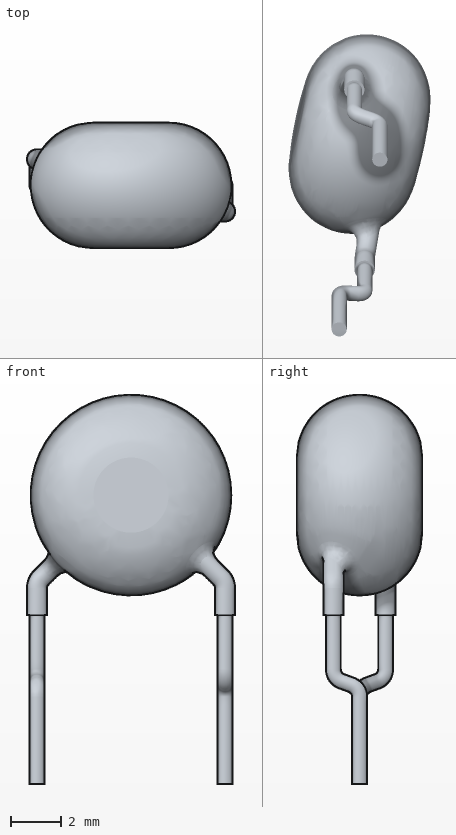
import cadquery as cq
import math

body_diameter = 8.0
body_thickness = 5.0
rim_radius = body_thickness / 2
face_radius = body_diameter / 2 - rim_radius
total_height = 15.5
body_center_z = total_height - body_diameter / 2

wire_diameter = 0.6
lead_spacing = 7.49
lead_offset_y = 1.04
tail_height = 3.49
crank_bend_radius = 0.5
crank_angle = math.radians(70)

sleeve_diameter = 0.8
sleeve_bottom_z = 6.73
sleeve_bend_z = 7.8
sleeve_bend_radius = 0.6
sleeve_angle = math.radians(45)
sleeve_reach = 2.48
root_fillet = 0.6


def arc_step(start, radius, start_angle, end_angle):
    """Middle and end points of a bend; angles are headings measured from vertical."""
    turn = 1 if end_angle > start_angle else -1

    def point_at(heading):
        across = turn * radius * (math.cos(start_angle) - math.cos(heading))
        up = turn * radius * (math.sin(heading) - math.sin(start_angle))
        return start[0] + across, start[1] + up

    return point_at((start_angle + end_angle) / 2), point_at(end_angle)


def straight_step(start, length, heading):
    """End point of a straight run along a heading measured from vertical."""
    return start[0] + length * math.sin(heading), start[1] + length * math.cos(heading)


def make_body():
    """Disc with a fully rounded rim and a flat circle on each face."""
    half = body_thickness / 2
    return (
        cq.Workplane("XY")
        .moveTo(0, -half)
        .lineTo(face_radius, -half)
        .threePointArc((body_diameter / 2, 0), (face_radius, half))
        .lineTo(0, half)
        .close()
        .revolve(360, (0, 0, 0), (0, 1, 0))
        .translate((0, 0, body_center_z))
    )


def make_wire():
    """Right lead: tail in the middle plane, crank toward -Y, then up into the sleeve."""
    bend_shift = crank_bend_radius * (1 - math.cos(crank_angle))
    slant_length = (lead_offset_y - 2 * bend_shift) / math.sin(crank_angle)
    tail_top = (0, tail_height)
    lower_middle, lower_end = arc_step(tail_top, crank_bend_radius, 0, crank_angle)
    slant_end = straight_step(lower_end, slant_length, crank_angle)
    upper_middle, upper_end = arc_step(slant_end, crank_bend_radius, crank_angle, 0)
    plane = cq.Plane(origin=(lead_spacing / 2, 0, 0), xDir=(0, -1, 0), normal=(-1, 0, 0))
    path = (
        cq.Workplane(plane)
        .moveTo(0, 0)
        .lineTo(*tail_top)
        .threePointArc(lower_middle, lower_end)
        .lineTo(*slant_end)
        .threePointArc(upper_middle, upper_end)
        .lineTo(lead_offset_y, sleeve_bend_z)
    )
    return (
        cq.Workplane("XY", origin=(lead_spacing / 2, 0, 0))
        .circle(wire_diameter / 2)
        .sweep(path)
    )


def make_sleeve():
    """Right sleeve: upright at the lead, then leaning inward to the body."""
    bend_start = (0, sleeve_bend_z)
    bend_middle, bend_end = arc_step(bend_start, sleeve_bend_radius, 0, -sleeve_angle)
    root = straight_step(bend_end, sleeve_reach, -sleeve_angle)
    path = (
        cq.Workplane("XZ", origin=(lead_spacing / 2, -lead_offset_y, 0))
        .moveTo(0, sleeve_bottom_z)
        .lineTo(*bend_start)
        .threePointArc(bend_middle, bend_end)
        .lineTo(*root)
    )
    return (
        cq.Workplane("XY", origin=(lead_spacing / 2, -lead_offset_y, sleeve_bottom_z))
        .circle(sleeve_diameter / 2)
        .sweep(path)
    )


def opposite(shape):
    """The matching shape on the other side, half a turn about Z."""
    return shape.rotate((0, 0, 0), (0, 0, 1), 180)


sleeve = make_sleeve()
coating = make_body().union(sleeve).union(opposite(sleeve))

for side in (-1, 1):
    junction = cq.selectors.BoxSelector(
        (side * lead_spacing / 4, -body_thickness, sleeve_bend_z + sleeve_bend_radius),
        (side * lead_spacing / 2, body_thickness, body_center_z - sleeve_diameter),
        boundingbox=True,
    )
    coating = coating.edges(junction).fillet(root_fillet)

wire = make_wire()
result = coating.union(wire).union(opposite(wire))